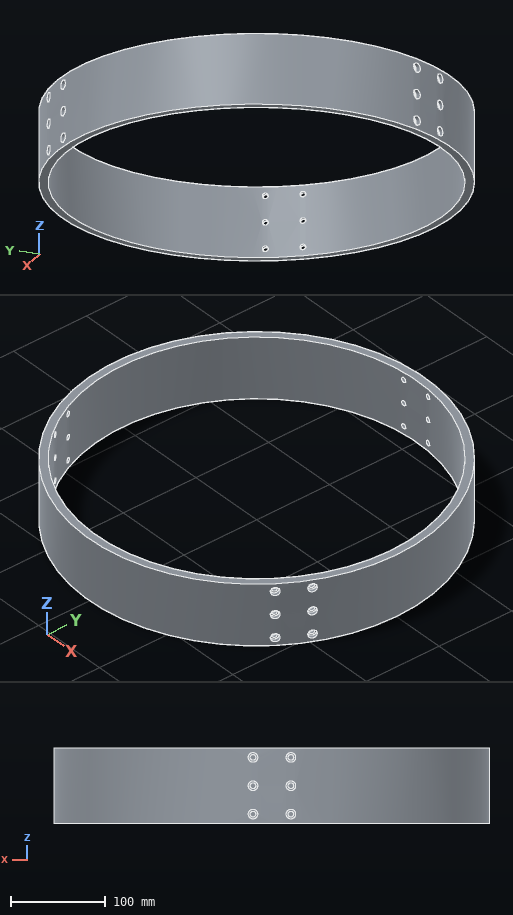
import cadquery as cq
import math

outer_diameter = 460.0
height = 80.0
wall = 10.0

joint_angles = (90, 210, 330)
column_spacing = 40.0
row_spacing = 30.0
hole_diameter = 6.0
head_diameter = 10.0
head_depth = 5.0

outer_radius = outer_diameter / 2
inner_radius = outer_radius - wall

column_offset = column_spacing / 2
hole_mouth = math.sqrt(outer_radius**2 - column_offset**2)


def make_ring():
    return cq.Workplane("XY").circle(outer_radius).circle(inner_radius).extrude(height)


def make_screw_cutter():
    """Counterbored screw shape along X, running inward from the outer face."""
    length = 2 * wall
    hole_radius = hole_diameter / 2
    head_radius = head_diameter / 2
    clearance = wall / 2
    profile = (
        cq.Workplane("XY")
        .moveTo(-length, 0)
        .lineTo(-length, hole_radius)
        .lineTo(-head_depth, hole_radius)
        .lineTo(-head_depth, head_radius)
        .lineTo(clearance, head_radius)
        .lineTo(clearance, 0)
        .close()
    )
    return profile.revolve(360, (0, 0, 0), (1, 0, 0))


def make_joint_cutters():
    """Screw cutters of one joint, centred on the +X side of the ring."""
    cutter = make_screw_cutter()
    cutters = cq.Workplane("XY")
    for side in (-1, 1):
        for row in (-1, 0, 1):
            z = height / 2 + row * row_spacing
            cutters = cutters.add(cutter.translate((hole_mouth, side * column_offset, z)))
    return cutters.combine()


result = make_ring()
joint_cutters = make_joint_cutters()
for joint_angle in joint_angles:
    result = result.cut(joint_cutters.rotate((0, 0, 0), (0, 0, 1), joint_angle))